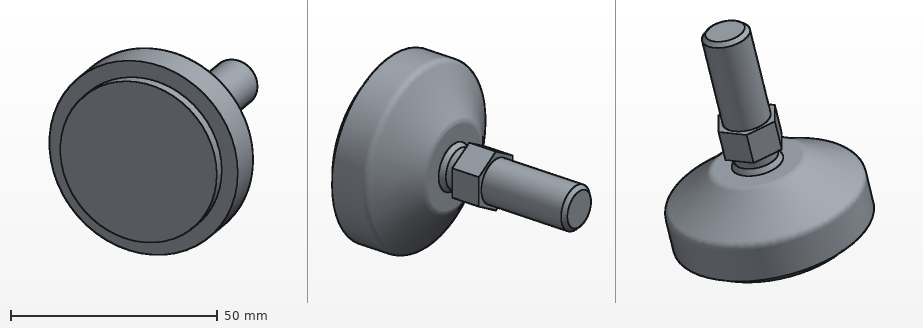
import cadquery as cq
import math


PAD_DIAMETER = 41.5
PAD_HEIGHT = 3.0

BODY_DIAMETER = 50.0
BODY_TOP_DIAMETER = 23.7
RIM_HEIGHT = 10.0
FLANK_HEIGHT = 8.5
FLANK_RADIUS = 100.0
BODY_FILLET = 2.0

BALL_DIAMETER = 14.0

NECK_DIAMETER = 11.0
NECK_LENGTH = 3.0
HEX_SIDES = 6
HEX_ACROSS_FLATS = 14.0
HEX_HEIGHT = 8.0
STUD_DIAMETER = 12.0
STUD_LENGTH = 25.0
STUD_CHAMFER = 1.1

TOTAL_HEIGHT = 59.0
STUD_START = TOTAL_HEIGHT - STUD_LENGTH
HEX_START = STUD_START - HEX_HEIGHT
BALL_NECK_LEVEL = HEX_START - NECK_LENGTH
RIM_TOP = PAD_HEIGHT + RIM_HEIGHT
BODY_TOP = RIM_TOP + FLANK_HEIGHT

BALL_CENTRE = BALL_NECK_LEVEL - math.sqrt((BALL_DIAMETER / 2) ** 2 - (NECK_DIAMETER / 2) ** 2)


def level_plane(y):
    """Plane normal to +Y at the given height, with its local x along X."""
    return cq.Plane(origin=(0, y, 0), xDir=(1, 0, 0), normal=(0, 1, 0))


def cylinder(diameter, start, end):
    return cq.Workplane(level_plane(start)).circle(diameter / 2).extrude(end - start)


def flank_midpoint():
    """Middle of the flank arc, sagging inward from the chord."""
    rim_radius = BODY_DIAMETER / 2
    top_radius = BODY_TOP_DIAMETER / 2
    run = rim_radius - top_radius
    chord = math.hypot(run, FLANK_HEIGHT)
    sag = FLANK_RADIUS - math.sqrt(FLANK_RADIUS ** 2 - (chord / 2) ** 2)
    x = (rim_radius + top_radius) / 2 - sag * FLANK_HEIGHT / chord
    y = (RIM_TOP + BODY_TOP) / 2 - sag * run / chord
    return x, y


def make_body():
    profile = (
        cq.Workplane("XY")
        .moveTo(0, PAD_HEIGHT)
        .lineTo(BODY_DIAMETER / 2, PAD_HEIGHT)
        .lineTo(BODY_DIAMETER / 2, RIM_TOP)
        .threePointArc(flank_midpoint(), (BODY_TOP_DIAMETER / 2, BODY_TOP))
        .lineTo(0, BODY_TOP)
        .close()
    )
    body = profile.revolve(360, (0, 0, 0), (0, 1, 0))
    shoulders = body.edges("not <Y").filter(lambda edge: edge.IsClosed())
    return shoulders.fillet(BODY_FILLET)


def make_ball():
    return cq.Workplane("XY").sphere(BALL_DIAMETER / 2).translate((0, BALL_CENTRE, 0))


def make_hexagon():
    """Hexagon with two flats facing +X and -X and two corners on Z."""
    across_corners = HEX_ACROSS_FLATS / math.cos(math.pi / HEX_SIDES)
    corner_on_z = level_plane(HEX_START).rotated((0, 0, 90))
    return cq.Workplane(corner_on_z).polygon(HEX_SIDES, across_corners).extrude(HEX_HEIGHT)


def make_stud():
    neck = cylinder(NECK_DIAMETER, BALL_CENTRE, HEX_START)
    shank = cylinder(STUD_DIAMETER, STUD_START, TOTAL_HEIGHT).faces(">Y").chamfer(STUD_CHAMFER)
    return neck.union(make_hexagon()).union(shank)


pad = cylinder(PAD_DIAMETER, 0, PAD_HEIGHT)
result = pad.union(make_body()).union(make_ball()).union(make_stud())